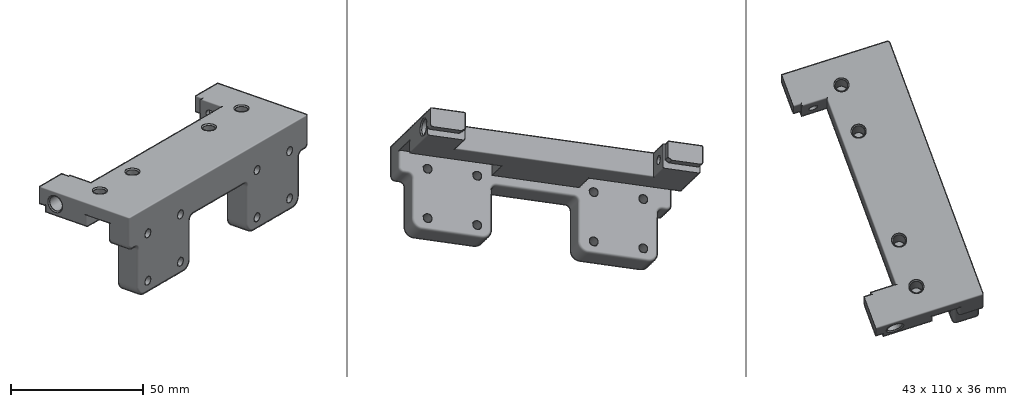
import cadquery as cq

LENGTH = 110.0
WIDTH = 43.0
HEIGHT = 36.0
HALF = LENGTH / 2
EDGE_ROUND = 0.5
MOUTH_CHAMFER = 0.5
WALL_ROUND = 1.0
SELECT_MARGIN = 1.1

PLATE_THICKNESS = 10.0
RECESS_DEPTH = 13.0
ARM_WIDTH = 15.0

TIP_LENGTH = 3.0
TIP_WIDTH = 14.1
TIP_HEIGHT = 7.6
TIP_ROUND = 1.0
TIP_BEVEL_WIDTH = 1.5
TIP_BEVEL_HEIGHT = 1.0

WALL_THICKNESS = 10.0
WALL_FRONT = WIDTH - WALL_THICKNESS
BAND_HEIGHT = 14.0
TAB_WIDTH = 32.0
TAB_CENTER = 33.5
TAB_CORNER = 4.0
BAND_CORNER = 2.0

POCKET_START = 22.7
POCKET_ROOF = 5.1
POCKET_MOUTH_ROUND = 0.8
POCKET_LENGTH = HALF - TAB_CENTER + TAB_WIDTH / 2

HOLE_SPACING = 20.0
TOP_HOLE_X = 20.0
TOP_HOLE_DIAMETER = 4.7
TOP_HOLE_DEPTH = 7.0
BOLT_DIAMETER = 3.5
UPPER_BOLT_DEPTH = 11.0
ARM_HOLE_X = 7.6
ARM_HOLE_DEPTH_BELOW_TOP = 5.1
ARM_BORE_DIAMETER = 6.0
ARM_BORE_DEPTH = 13.0

HOLE_COLUMNS = [
    side * TAB_CENTER + offset
    for side in (-1, 1)
    for offset in (-HOLE_SPACING / 2, HOLE_SPACING / 2)
]


def block(x_range, y_range, z_range):
    """Box given by its limits along each axis."""
    sizes = [high - low for low, high in (x_range, y_range, z_range)]
    corner = (x_range[0], y_range[0], z_range[0])
    return cq.Workplane("XY").box(*sizes, centered=False).translate(corner)


def at_level(z):
    """Selector for the edges centred near the given height."""
    return cq.selectors.BoxSelector(
        (0, -LENGTH, z - SELECT_MARGIN), (2 * WIDTH, LENGTH, z + SELECT_MARGIN)
    )


def countersunk_pin(diameter, depth):
    """Cutter pointing down from the origin, with a small chamfer at its mouth."""
    pin = cq.Workplane("XY").circle(diameter / 2).extrude(-depth)
    mouth = (
        cq.Workplane("XY")
        .circle(diameter / 2 + MOUTH_CHAMFER)
        .workplane(offset=-MOUTH_CHAMFER)
        .circle(diameter / 2)
        .loft()
    )
    return pin.union(mouth)


def make_plate():
    """Top plate with the recess, ending inside the wall so the two overlap."""
    plate_end = WALL_FRONT + 2 * WALL_ROUND
    inner = HALF - ARM_WIDTH
    plate = block((TIP_LENGTH, plate_end), (-HALF, HALF), (-PLATE_THICKNESS, 0))
    plate = plate.cut(block((0, RECESS_DEPTH), (-inner, inner), (-PLATE_THICKNESS, 0)))
    recess_front = cq.selectors.BoxSelector(
        (RECESS_DEPTH - SELECT_MARGIN, -SELECT_MARGIN, -LENGTH),
        (RECESS_DEPTH + SELECT_MARGIN, SELECT_MARGIN, 0),
    )
    bottom = plate.faces("<Z")
    rounded = bottom.edges("|X").add(bottom.edges(recess_front))
    return plate.newObject(rounded.vals()).fillet(EDGE_ROUND)


def make_tip():
    """Reduced tip of the arm at the -Y end."""
    inner = -HALF + TIP_WIDTH
    return (
        cq.Workplane("YZ")
        .moveTo(-HALF, 0)
        .lineTo(-HALF, TIP_ROUND - TIP_HEIGHT)
        .radiusArc((TIP_ROUND - HALF, -TIP_HEIGHT), -TIP_ROUND)
        .lineTo(inner - TIP_BEVEL_WIDTH, -TIP_HEIGHT)
        .lineTo(inner, TIP_BEVEL_HEIGHT - TIP_HEIGHT)
        .lineTo(inner, 0)
        .close()
        .extrude(TIP_LENGTH)
    )


def make_pocket():
    """Cutter for the underside pocket at the -Y end, its arm side rounded off at the mouth."""
    inner = -HALF + POCKET_LENGTH
    return (
        cq.Workplane("XY", origin=(0, 0, -PLATE_THICKNESS))
        .moveTo(POCKET_START - POCKET_MOUTH_ROUND, -HALF)
        .radiusArc((POCKET_START, -HALF + POCKET_MOUTH_ROUND), -POCKET_MOUTH_ROUND)
        .lineTo(POCKET_START, inner)
        .lineTo(WIDTH, inner)
        .lineTo(WIDTH, -HALF)
        .close()
        .extrude(PLATE_THICKNESS - POCKET_ROOF)
    )


def make_wall():
    """Hanging wall with its tabs, rounded corners and rounded front and back edges."""
    wall_x = (WALL_FRONT, WIDTH)
    wall = block(wall_x, (-HALF, HALF), (-BAND_HEIGHT, 0))
    for side in (-1, 1):
        middle = side * TAB_CENTER
        tab_y = (middle - TAB_WIDTH / 2, middle + TAB_WIDTH / 2)
        wall = wall.union(block(wall_x, tab_y, (-HEIGHT, 0)))
    wall = wall.edges("|X").edges(at_level(-HEIGHT)).fillet(TAB_CORNER)
    wall = wall.edges("|X").edges(at_level(-BAND_HEIGHT)).fillet(BAND_CORNER)
    return wall.faces("<X or >X").edges("not >Z").fillet(WALL_ROUND)


def cut_holes(body):
    """Blind holes in the top, bolt holes through the tabs and counterbored holes in the arms."""
    top_hole = countersunk_pin(TOP_HOLE_DIAMETER, TOP_HOLE_DEPTH)
    bolt = cq.Workplane("YZ").circle(BOLT_DIAMETER / 2).extrude(WALL_THICKNESS)
    for y in HOLE_COLUMNS:
        body = body.cut(top_hole.translate((TOP_HOLE_X, y, 0)))
        for depth in (UPPER_BOLT_DEPTH, UPPER_BOLT_DEPTH + HOLE_SPACING):
            body = body.cut(bolt.translate((WALL_FRONT, y, -depth)))

    x_axis = ((0, 0, 0), (1, 0, 0))
    bore = countersunk_pin(ARM_BORE_DIAMETER, ARM_BORE_DEPTH).rotate(*x_axis, 90)
    bore = bore.translate((ARM_HOLE_X, -HALF, -ARM_HOLE_DEPTH_BELOW_TOP))
    screw = cq.Workplane("XZ").circle(BOLT_DIAMETER / 2).extrude(-ARM_WIDTH)
    screw = screw.translate((ARM_HOLE_X, -HALF, -ARM_HOLE_DEPTH_BELOW_TOP))
    arm_hole = bore.union(screw)
    return body.cut(arm_hole).cut(arm_hole.mirror("XZ"))


plate = make_plate()
pocket = make_pocket()
tip = make_tip()
plate = plate.cut(pocket).cut(pocket.mirror("XZ"))
plate = plate.union(tip).union(tip.mirror("XZ"))
body = plate.union(make_wall()).clean()

body = body.faces(">Z").edges("not <X").fillet(EDGE_ROUND)
result = cut_holes(body)